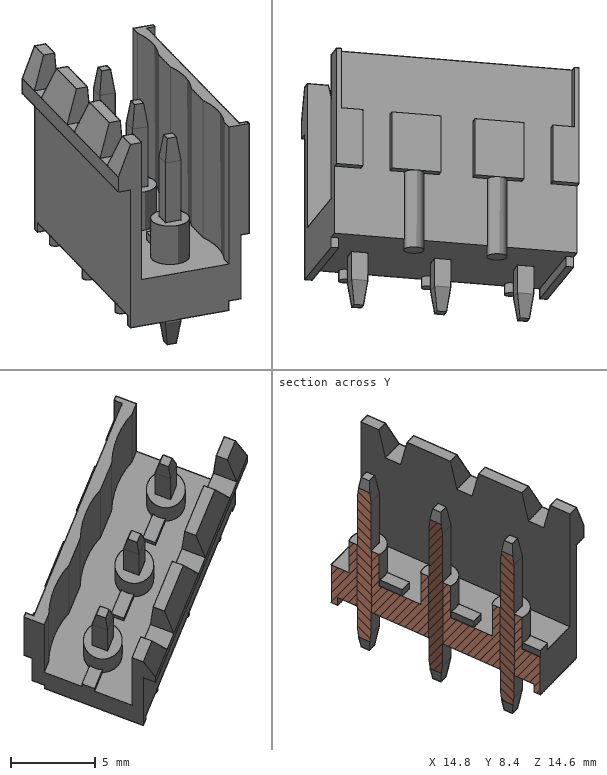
import cadquery as cq


length = 14.84
pitch = 5.08
pin_count = 3

pin_width = 1.0
tip_width = 0.58
pin_bottom = -2.58
pin_top = 10.94
tip_length = 1.48

standoff = 0.62
floor_top = 3.04
wall_top = 12.02

back_face = 4.11
back_wall_inner = 2.8
front_wall_inner = -2.79
front_face = -3.5

relief_depth = 0.52
overhang_bottom = 4.81
ear_width = 0.3
block_width = 2.98
end_block_width = 1.3
block_top = 8.31

scallop_width = 3.26
scallop_depth = 0.28

latch_reach = 0.79
latch_bottom = 9.04
latch_shoulder = 10.02
notch_bottom_width = 1.08
notch_top_width = 2.0
notch_shift = 0.06

boss_diameter = 2.3
boss_height = 2.51
rib_width = 0.8
rib_height = 0.49
rib_reach = 2.7

foot_width = 0.46
post_diameter = 1.2
peg_diameter = 0.7
peg_y = -3.15

half_length = length / 2
relief_face = back_face - relief_depth
pin_positions = [(i - (pin_count - 1) / 2) * pitch for i in range(pin_count)]
gap_positions = [x + pitch / 2 for x in pin_positions[:-1]]


def box(x_range, y_range, z_range):
    """Box between two limits on each axis."""
    size = [high - low for low, high in (x_range, y_range, z_range)]
    corner = (x_range[0], y_range[0], z_range[0])
    return cq.Workplane("XY").box(*size, centered=False).translate(corner)


def cylinder(x, y, diameter, bottom, top):
    """Upright cylinder between two levels."""
    return cq.Workplane("XY", origin=(x, y, bottom)).circle(diameter / 2).extrude(top - bottom)


def make_shell():
    """U-shaped section with the latch rail, extruded along the row."""
    latch_face = front_face - latch_reach
    section = [
        (front_face, standoff),
        (relief_face, standoff),
        (relief_face, wall_top),
        (back_wall_inner, wall_top),
        (back_wall_inner, floor_top),
        (front_wall_inner, floor_top),
        (front_wall_inner, wall_top),
        (front_face, wall_top),
        (latch_face, latch_shoulder),
        (latch_face, latch_bottom),
        (front_face, latch_bottom),
    ]
    return cq.Workplane("YZ").polyline(section).close().extrude(half_length, both=True)


def make_scallop(x):
    """Shallow arc hollow in the inner side of the back wall."""
    return (
        cq.Workplane("XY", origin=(x, back_wall_inner, floor_top))
        .moveTo(-scallop_width / 2, 0)
        .threePointArc((0, scallop_depth), (scallop_width / 2, 0))
        .close()
        .extrude(wall_top - floor_top)
    )


def make_latch_notch(x):
    """V-sided notch through the latch rail, open at the top."""
    outline = [
        (-notch_bottom_width / 2, latch_shoulder),
        (notch_bottom_width / 2, latch_shoulder),
        (notch_top_width / 2, wall_top),
        (-notch_top_width / 2, wall_top),
    ]
    depth = front_wall_inner - front_face + latch_reach
    return (
        cq.Workplane("XZ", origin=(x + notch_shift, front_wall_inner, 0))
        .polyline(outline)
        .close()
        .extrude(depth)
    )


def make_rear_details():
    """Ears, blocks and posts standing on the relieved rear face."""
    depth = (relief_face, back_face)
    ear_inner = half_length - ear_width
    block_inner = ear_inner - end_block_width
    block_levels = (overhang_bottom, block_top)
    ear_levels = (overhang_bottom, wall_top)
    details = [
        box((-half_length, -ear_inner), depth, ear_levels),
        box((ear_inner, half_length), depth, ear_levels),
        box((-ear_inner, -block_inner), depth, block_levels),
        box((block_inner, ear_inner), depth, block_levels),
    ]
    post_y = back_face - post_diameter / 2
    for x in gap_positions:
        details.append(box((x - block_width / 2, x + block_width / 2), depth, block_levels))
        details.append(cylinder(x, post_y, post_diameter, 0, overhang_bottom))
    return details


def make_floor_rib(x):
    """Rib on the floor running from a boss toward -X, cut off at the housing end."""
    start = max(x - rib_reach, -half_length)
    return box((start, x), (-rib_width / 2, rib_width / 2), (floor_top, floor_top + rib_height))


def make_feet():
    """Standoff rail under each end of the housing."""
    depth = (front_face, back_wall_inner)
    levels = (0, standoff)
    inner = half_length - foot_width
    return [box((-half_length, -inner), depth, levels), box((inner, half_length), depth, levels)]


def make_housing():
    """Complete housing with a square hole for each pin."""
    housing = make_shell()
    for x in pin_positions:
        housing = housing.cut(make_scallop(x)).cut(make_latch_notch(x))

    additions = make_rear_details() + make_feet()
    for x in pin_positions:
        additions.append(cylinder(x, 0, boss_diameter, floor_top, floor_top + boss_height))
        additions.append(make_floor_rib(x))
        additions.append(cylinder(x, peg_y, peg_diameter, 0, standoff))
    for addition in additions:
        housing = housing.union(addition)

    hole_half = pin_width / 2
    for x in pin_positions:
        hole_x = (x - hole_half, x + hole_half)
        housing = housing.cut(box(hole_x, (-hole_half, hole_half), (0, wall_top)))
    return housing


def make_tip(base_level, direction):
    """Tapered pin end growing up (direction 1) or down (direction -1)."""
    return (
        cq.Workplane("XY", origin=(0, 0, base_level))
        .rect(pin_width, pin_width)
        .workplane(offset=direction * tip_length)
        .rect(tip_width, tip_width)
        .loft()
    )


def make_pin(x):
    """Square pin tapered at both ends."""
    shank_bottom = pin_bottom + tip_length
    shank_top = pin_top - tip_length
    half = pin_width / 2
    shank = box((-half, half), (-half, half), (shank_bottom, shank_top))
    pin = shank.union(make_tip(shank_top, 1)).union(make_tip(shank_bottom, -1))
    return pin.translate((x, 0, 0))


housing = make_housing()
pins = [make_pin(x) for x in pin_positions]

result = cq.Compound.makeCompound([housing.val(), *[pin.val() for pin in pins]])